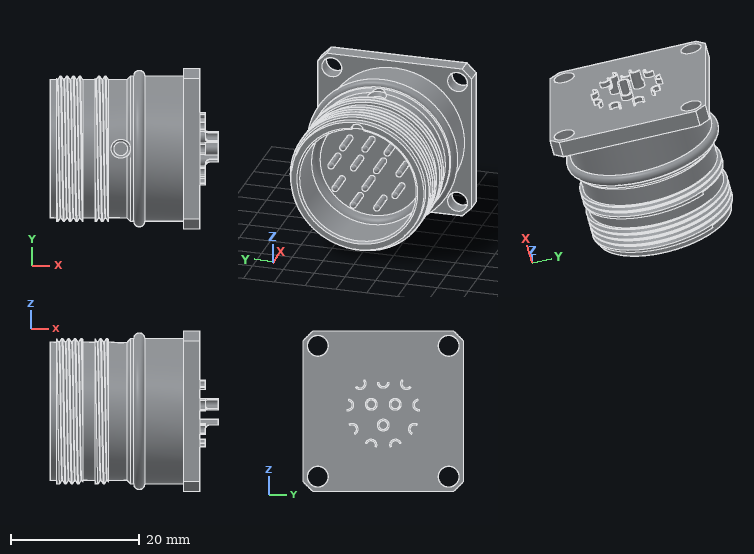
import cadquery as cq
import math

total_length = 26.2

barrel_radius = 10.8
body_radius = 11.35
body_cone_start = 11.97
body_cone_length = body_radius - barrel_radius
flange_front = 20.75
flange_back = 23.32

flange_side = 25.0
flange_chamfer = 1.52
flange_hole_radius = 1.6
flange_hole_offset = 10.2

seal_position = 13.89
seal_section_radius = 0.86

thread_pitch = 1.0
thread_radius = body_radius
thread_crest_width = 0.15
thread_root_width = 0.1
groove_overlap = 0.03
sleeve_bore = 10.48
thread_bands = ((1.02, 5.08), (7.0, 9.1))
thread_start_angle = 315

bore_radius = 9.45
mouth_chamfer = 0.35
floor_depth = 8.25
floor_radius = 8.44
shoulder_round = 1.3
key_slot_radius = 1.0
key_slot_center = 9.54
key_slot_depth = 0.79

dimple_position = 11.0
dimple_floor_radius = 1.07
dimple_rim_radius = 1.52
dimple_floor_height = 10.15
dimple_cut_top = 11.8

pin_radius = 0.5
pin_tip = 3.8
inner_circle = 2.15
outer_circle = 5.6
top_contact_radius = 4.5
cup_radius = 0.92
cup_bore_radius = 0.68
cup_collar_end = 24.15
cup_fillet = 0.73

long_contacts = ((30, 60), (150, 165), (270, 270))
outer_angles = [10 + 40 * step for step in range(9)]
key_angle = 90


def polar(radius, angle):
    """Return (Y, Z) for a place around the connector axis."""
    turn = math.radians(angle)
    return radius * math.cos(turn), radius * math.sin(turn)


def disc(radius, start, end, y=0.0, z=0.0):
    """Cylinder along X between two X positions."""
    return cq.Workplane("YZ", origin=(start, y, z)).circle(radius).extrude(end - start)


def make_shell():
    cone_end = body_cone_start + body_cone_length
    outline = [
        (0, 0),
        (0, barrel_radius),
        (body_cone_start, barrel_radius),
        (cone_end, body_radius),
        (flange_front, body_radius),
        (flange_front, 0),
    ]
    shell = cq.Workplane("XY").polyline(outline).close().revolve(360, (0, 0, 0), (1, 0, 0))
    flange = (
        cq.Workplane("YZ", origin=(flange_front, 0, 0))
        .rect(flange_side, flange_side)
        .extrude(flange_back - flange_front)
        .edges("|X")
        .chamfer(flange_chamfer)
        .faces("<X")
        .workplane(origin=(flange_front, 0, 0))
        .rect(2 * flange_hole_offset, 2 * flange_hole_offset, forConstruction=True)
        .vertices()
        .hole(2 * flange_hole_radius)
    )
    seal = (
        cq.Workplane("XY")
        .center(seal_position, body_radius)
        .circle(seal_section_radius)
        .revolve(360, (0, -body_radius, 0), (1, -body_radius, 0))
    )
    return shell.union(flange).union(seal)


def make_thread(start, end):
    """Sleeve with a right-handed V groove that starts abruptly in its front face."""
    groove_root = barrel_radius - groove_overlap
    groove_top = thread_radius + groove_overlap
    half_crest_gap = (thread_pitch - thread_crest_width) / 2
    half_root_gap = thread_root_width / 2
    slope = (half_crest_gap - half_root_gap) / (thread_radius - barrel_radius)
    half_bottom = half_root_gap - slope * groove_overlap
    half_top = half_crest_gap + slope * groove_overlap
    helix_length = end - start + half_crest_gap
    helix = cq.Wire.makeHelix(thread_pitch, helix_length, groove_root)
    groove = (
        cq.Workplane("XZ")
        .polyline(
            [
                (groove_root, -half_bottom),
                (groove_top, -half_top),
                (groove_top, half_top),
                (groove_root, half_bottom),
            ]
        )
        .close()
        .sweep(cq.Workplane(obj=helix), isFrenet=True)
        .rotate((0, 0, 0), (0, 1, 0), 90)
        .rotate((0, 0, 0), (1, 0, 0), thread_start_angle + 90)
        .translate((start, 0, 0))
    )
    sleeve = disc(thread_radius, start, end).cut(disc(sleeve_bore, start, end))
    return sleeve.cut(groove)


def make_socket():
    """Empty space inside the mating end, narrowing over a rounded bead to the floor."""
    bead_center_radius = floor_radius + shoulder_round
    bead_start_angle = math.acos((bead_center_radius - bore_radius) / shoulder_round)

    def bead_point(angle):
        return (
            floor_depth - shoulder_round * math.sin(angle),
            bead_center_radius - shoulder_round * math.cos(angle),
        )

    socket = (
        cq.Workplane("XY")
        .moveTo(0, 0)
        .lineTo(0, bore_radius + mouth_chamfer)
        .lineTo(mouth_chamfer, bore_radius)
        .lineTo(*bead_point(bead_start_angle))
        .threePointArc(bead_point(bead_start_angle / 2), bead_point(0))
        .lineTo(floor_depth, 0)
        .close()
        .revolve(360, (0, 0, 0), (1, 0, 0))
    )
    key_slot = disc(key_slot_radius, 0, key_slot_depth, z=key_slot_center)
    return socket.union(key_slot)


def make_dimple():
    """Countersink cut into the top of the barrel, straight-sided above the barrel surface."""
    return (
        cq.Workplane("XZ")
        .moveTo(0, dimple_floor_height)
        .lineTo(dimple_floor_radius, dimple_floor_height)
        .lineTo(dimple_rim_radius, barrel_radius)
        .lineTo(dimple_rim_radius, dimple_cut_top)
        .lineTo(0, dimple_cut_top)
        .close()
        .revolve(360, (0, 0, 0), (0, 1, 0))
        .translate((dimple_position, 0, 0))
    )


def make_pin(y, z):
    pin = disc(pin_radius, pin_tip + pin_radius, floor_depth + 0.25, y, z)
    tip = cq.Workplane("XY").sphere(pin_radius).translate((pin_tip + pin_radius, y, z))
    return pin.union(tip)


def make_cup(y, z, opening_angle, end, collar_end):
    """Tube on the back face, cut open on one side beyond its full-round collar."""
    tube = disc(cup_radius, flange_back, end).cut(disc(cup_bore_radius, flange_back, end))
    reach = 2 * cup_radius
    opening = (
        cq.Workplane("XY")
        .box(end - collar_end, reach, reach, centered=(False, False, True))
        .translate((collar_end, 0, 0))
    )
    if collar_end > flange_back:
        opening = opening.edges("|Z and <X and <Y").fillet(cup_fillet)
    return (
        tube.cut(opening)
        .rotate((0, 0, 0), (1, 0, 0), opening_angle)
        .translate((0, y, z))
    )


result = make_shell()
for start, end in thread_bands:
    result = result.union(make_thread(start, end))
result = result.cut(make_socket()).cut(make_dimple())

for angle, opening_angle in long_contacts:
    place = polar(inner_circle, angle)
    result = result.union(make_pin(*place))
    result = result.union(make_cup(*place, opening_angle, total_length, cup_collar_end))

for angle in outer_angles:
    circle_radius = top_contact_radius if angle == key_angle else outer_circle
    place = polar(circle_radius, angle)
    result = result.union(make_pin(*place))
    result = result.union(make_cup(*place, angle, cup_collar_end, flange_back))